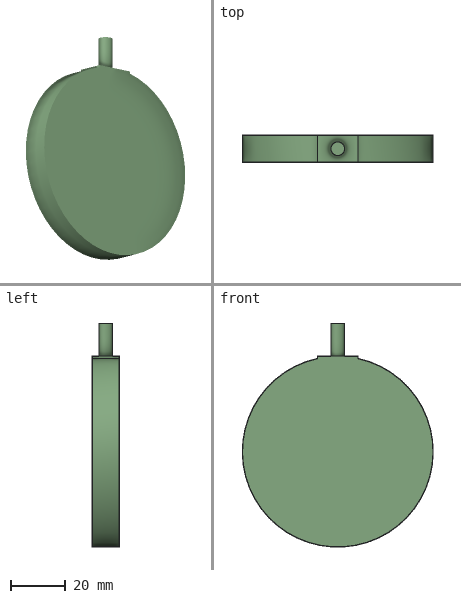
import cadquery as cq

disc_diameter = 70.0
disc_thickness = 10.0
pad_width = 15.0
stem_diameter = 5.0
stem_length = 12.0

disc_radius = disc_diameter / 2
pad_top = disc_radius


def make_disc():
    """Flat round body, axis along Y, centred on the origin."""
    return cq.Workplane("XZ").circle(disc_radius).extrude(disc_thickness / 2, both=True)


def make_pad():
    """Flat seat for the stem, reaching down to the disc centre so it merges with the body."""
    return cq.Workplane("XY").rect(pad_width, disc_thickness).extrude(pad_top)


def make_stem():
    """Round pin standing on the pad."""
    return cq.Workplane("XY").workplane(offset=pad_top).circle(stem_diameter / 2).extrude(stem_length)


result = make_disc().union(make_pad()).union(make_stem())